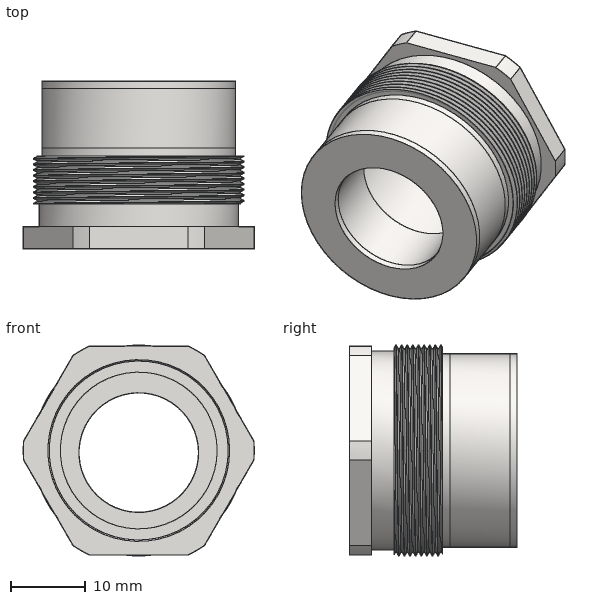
import cadquery as cq
import math

hex_flats = 28.0
hex_corner_diameter = 31.0
hex_thickness = 3.0
neck_diameter = 26.75
barrel_diameter = 26.0

thread_start = 6.0
thread_end = 12.5
housing_end = 13.5
seal_end = 21.5
end_ring_end = 22.5

main_bore_diameter = 24.0
mouth_chamfer = 0.2
lip_bore_diameter = 21.0
lip_thickness = 1.0
seal_bore_diameter = 16.0
seal_bore_drop = 0.28

thread_diameter = 28.25
thread_turns = 8.6
thread_pitch = (thread_end - thread_start) / thread_turns
thread_depth = 0.45
thread_crest_width = thread_pitch / 8
thread_root_width = thread_pitch / 4
axis_cycle_angle = 240
ridge_sink = 0.05
crest_position = 11.53


def disc(diameter, start, end):
    """Solid cylinder along Y from start to end."""
    plane = cq.Workplane("XZ", origin=(0, start, 0))
    return plane.circle(diameter / 2).extrude(start - end)


def bored_disc(start, end):
    """Barrel slice with the off-centre seal bore through it."""
    bore = disc(seal_bore_diameter, start, end).translate((0, 0, -seal_bore_drop))
    return disc(barrel_diameter, start, end).cut(bore)


def make_hexagon():
    """Hexagon with flats at +Z and -Z and its corners turned round."""
    corner_to_corner = hex_flats / math.cos(math.pi / 6)
    hexagon = cq.Workplane("XZ").polygon(6, corner_to_corner).extrude(-hex_thickness)
    return hexagon.intersect(disc(hex_corner_diameter, 0, hex_thickness))


def make_thread_ridge():
    """Helical thread ridge, sunk a little into the core and cut flush at both thread ends."""
    ridge_start = crest_position
    while ridge_start > thread_start - thread_pitch:
        ridge_start -= thread_pitch
    ridge_length = thread_end + 2 * thread_pitch - ridge_start
    crest_radius = thread_diameter / 2
    path = cq.Wire.makeHelix(thread_pitch, ridge_length, crest_radius)

    half_crest = thread_crest_width / 2
    flank_slope = (thread_pitch - thread_crest_width - thread_root_width) / 2 / thread_depth
    ridge_height = thread_depth + ridge_sink
    half_base = half_crest + flank_slope * ridge_height
    base_radius = crest_radius - ridge_height
    profile = cq.Workplane("XZ").polyline([
        (base_radius, -half_base),
        (crest_radius, -half_crest),
        (crest_radius, half_crest),
        (base_radius, half_base),
    ]).close()
    ridge = profile.sweep(cq.Workplane(path), isFrenet=True)
    ridge = ridge.translate((0, 0, ridge_start)).rotate((0, 0, 0), (1, 1, 1), axis_cycle_angle)
    return ridge.intersect(disc(2 * thread_diameter, thread_start, thread_end))


def make_thread():
    core = disc(thread_diameter - 2 * thread_depth, thread_start, thread_end)
    return make_thread_ridge().union(core, clean=False)


def make_housing():
    """Hexagon, neck, thread and rear lip in one piece, bored from the front."""
    bore_end = housing_end - lip_thickness
    housing = make_hexagon()
    housing = housing.union(disc(neck_diameter, hex_thickness, thread_start))
    housing = housing.union(make_thread(), clean=False)
    housing = housing.union(disc(barrel_diameter, thread_end, housing_end), clean=False)
    housing = housing.cut(disc(main_bore_diameter, 0, bore_end), clean=False)
    housing = housing.cut(disc(lip_bore_diameter, bore_end, housing_end), clean=False)
    mouth_edge = cq.selectors.RadiusNthSelector(0)
    return housing.faces("<Y").edges("%CIRCLE").edges(mouth_edge).chamfer(mouth_chamfer)


def make_seal():
    return bored_disc(housing_end, seal_end)


def make_end_ring():
    return bored_disc(seal_end, end_ring_end)


housing = make_housing()
seal = make_seal()
end_ring = make_end_ring()

result = cq.Compound.makeCompound([housing.val(), seal.val(), end_ring.val()])